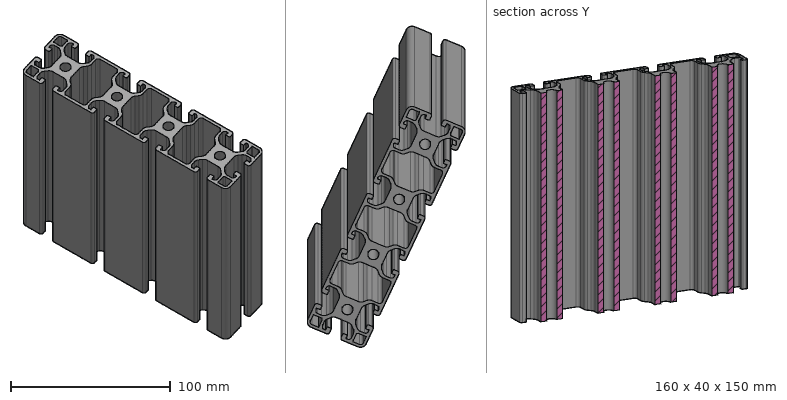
import cadquery as cq
import math

MODULE = 40.0
MODULE_COUNT = 4
LENGTH = 150.0
CORNER_RADIUS = 4.0
BORE_DIAMETER = 6.9

MOUTH_WIDTH = 7.8
MOUTH_RADIUS = 1.6
LIP_DEPTH = 4.5
LIP_WIDTH = 3.0
LIP_RADIUS = 0.6
SLOT_WIDTH = 19.8
POCKET_RADIUS = 2.0

CORE_WIDTH = 15.4
SKIN = 2.0
CELL_SKIN = 2.0
WEB = 1.8
STRUT = 2.5
STRUT_RADIUS = 4.0
CAVITY_RADIUS = 2.0
CELL_OUTER_RADIUS = 1.8
CELL_INNER_RADIUS = 1.1

HALF_MODULE = MODULE / 2
HALF_MOUTH = MOUTH_WIDTH / 2
HALF_SLOT = SLOT_WIDTH / 2
HALF_CORE = CORE_WIDTH / 2
SKIN_INSIDE = HALF_MODULE - SKIN
CELL_OUTSIDE = HALF_MODULE - CELL_SKIN
LIP_INSIDE = HALF_MODULE - LIP_DEPTH
WEB_OUTSIDE = HALF_SLOT + WEB
STRUT_OFFSET = STRUT / math.sqrt(2)
CUT_MARGIN = 1.6

MODULE_CENTRES = [(i - (MODULE_COUNT - 1) / 2) * MODULE for i in range(MODULE_COUNT)]
CAVITY_CENTRES = [x + HALF_MODULE for x in MODULE_CENTRES[:-1]]


def rounded_prism(corners):
    """Extrude a closed outline given as (x, y, corner radius)."""
    stretches = []
    for i, (x, y, radius) in enumerate(corners):
        corner = cq.Vector(x, y)
        before = cq.Vector(*corners[i - 1][:2])
        after = cq.Vector(*corners[(i + 1) % len(corners)][:2])
        to_before = (before - corner).normalized()
        to_after = (after - corner).normalized()
        half_angle = to_before.getAngle(to_after) / 2
        setback = radius / math.tan(half_angle)
        bulge = radius / math.sin(half_angle) - radius
        middle = corner + (to_before + to_after).normalized() * bulge
        stretches.append((corner + to_before * setback, middle, corner + to_after * setback, radius))

    outline = cq.Workplane("XY").moveTo(*stretches[0][2].toTuple()[:2])
    for start, middle, end, radius in stretches[1:] + stretches[:1]:
        outline = outline.lineTo(*start.toTuple()[:2])
        if radius > 0:
            outline = outline.threePointArc(middle.toTuple()[:2], end.toTuple()[:2])
    return outline.close().extrude(LENGTH)


def mirrored_in_x(half):
    """Complete a half outline with its mirror image across the Y axis."""
    return half + [(-x, y, radius) for x, y, radius in reversed(half)]


def slot_cutter():
    """T-slot that opens toward +Y of a module centred on the origin."""
    return rounded_prism(mirrored_in_x([
        (HALF_CORE - STRUT_OFFSET, HALF_CORE, STRUT_RADIUS),
        (HALF_SLOT, HALF_SLOT + STRUT_OFFSET, STRUT_RADIUS),
        (HALF_SLOT, SKIN_INSIDE, POCKET_RADIUS),
        (HALF_MOUTH + LIP_WIDTH, SKIN_INSIDE, 0),
        (HALF_MOUTH + LIP_WIDTH, LIP_INSIDE, 0),
        (HALF_MOUTH, LIP_INSIDE, LIP_RADIUS),
        (HALF_MOUTH, HALF_MODULE, MOUTH_RADIUS),
        (HALF_MOUTH + MOUTH_RADIUS + CUT_MARGIN, HALF_MODULE, 0),
        (HALF_MOUTH + MOUTH_RADIUS + CUT_MARGIN, HALF_MODULE + CUT_MARGIN, 0),
    ]))


def cavity_cutter():
    """Large cavity between two modules, centred on their shared boundary."""
    wide = HALF_MODULE - HALF_CORE
    narrow = HALF_MODULE - WEB_OUTSIDE
    upper = [
        (wide, HALF_CORE - STRUT_OFFSET, STRUT_RADIUS),
        (narrow, WEB_OUTSIDE - STRUT_OFFSET, STRUT_RADIUS),
        (narrow, SKIN_INSIDE, CAVITY_RADIUS),
    ]
    lower = [(x, -y, radius) for x, y, radius in reversed(upper)]
    return rounded_prism(mirrored_in_x(lower + upper))


def corner_cell_cutter():
    """Small square cell in the (+X, +Y) corner of a module centred on the origin."""
    return rounded_prism([
        (WEB_OUTSIDE, WEB_OUTSIDE, CELL_INNER_RADIUS),
        (CELL_OUTSIDE, WEB_OUTSIDE, 0),
        (CELL_OUTSIDE, CELL_OUTSIDE, CELL_OUTER_RADIUS),
        (WEB_OUTSIDE, CELL_OUTSIDE, 0),
    ])


def turned(cutter, angle, centre_x):
    """Turn a cutter about the Z axis, then move it to a module centre."""
    return cutter.rotate((0, 0, 0), (0, 0, 1), angle).translate((centre_x, 0, 0))


profile = (
    cq.Workplane("XY")
    .rect(MODULE * MODULE_COUNT, MODULE)
    .extrude(LENGTH)
    .edges("|Z")
    .fillet(CORNER_RADIUS)
)

slot = slot_cutter()
for centre_x in MODULE_CENTRES:
    profile = profile.cut(turned(slot, 0, centre_x))
    profile = profile.cut(turned(slot, 180, centre_x))
profile = profile.cut(turned(slot, 90, MODULE_CENTRES[0]))
profile = profile.cut(turned(slot, 270, MODULE_CENTRES[-1]))

cavity = cavity_cutter()
for centre_x in CAVITY_CENTRES:
    profile = profile.cut(cavity.translate((centre_x, 0, 0)))

corner_cell = corner_cell_cutter()
for angle, centre_x in [
    (0, MODULE_CENTRES[-1]),
    (90, MODULE_CENTRES[0]),
    (180, MODULE_CENTRES[0]),
    (270, MODULE_CENTRES[-1]),
]:
    profile = profile.cut(turned(corner_cell, angle, centre_x))

bores = (
    cq.Workplane("XY")
    .pushPoints([(x, 0) for x in MODULE_CENTRES])
    .circle(BORE_DIAMETER / 2)
    .extrude(LENGTH)
)

result = profile.cut(bores)